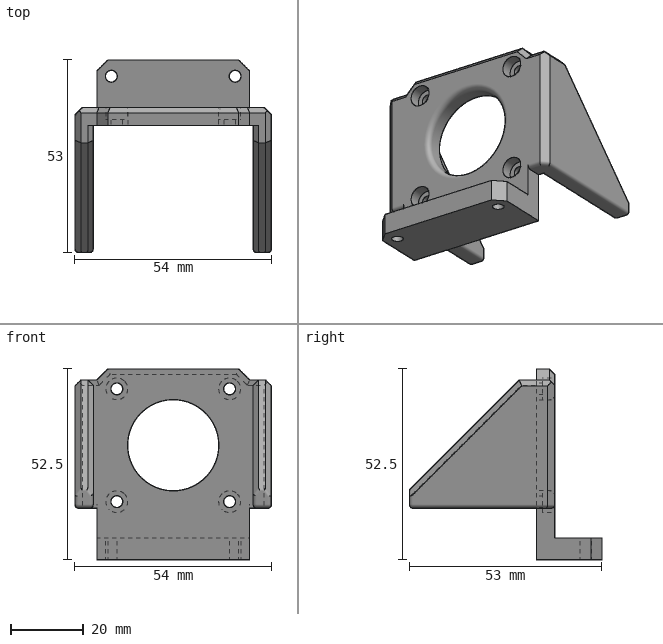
import cadquery as cq

total_width = 54.0
total_depth = 53.0
total_height = 52.5

plate_width = 42.0
plate_thickness = 5.0
foot_depth = 18.05
foot_height = 6.0
corner_chamfer = 3.0
foot_overhang = foot_depth - plate_thickness

wing_thickness = 5.0
wing_bottom = 14.15
wing_tip_height = 5.15
wing_top = total_height - corner_chamfer
wing_depth = total_depth - foot_overhang
wing_slope_base = wing_bottom + wing_tip_height
wing_outer_face = total_width / 2
wing_inner_face = wing_outer_face - wing_thickness

outer_chamfer = 1.7
inner_chamfer = 1.5
rear_corner_chamfer = 2.0
rear_top_chamfer = 1.5
wing_fillet = 1.0
bore_rear_fillet = 1.5

screw_diameter = 3.2
motor_bore_diameter = 25.0
motor_hole_spacing = 31.0
motor_center_height = total_height - plate_width / 2
counterbore_diameter = 6.0
counterbore_floor = 1.6
foot_hole_spacing = 34.0
foot_hole_inset = 4.5

pick_margin = 0.05


def edges_between(low_corner, high_corner):
    """Selector for edges centred in a box, widened by the picking margin."""
    low = tuple(value - pick_margin for value in low_corner)
    high = tuple(value + pick_margin for value in high_corner)
    return cq.selectors.BoxSelector(low, high)


def chamfer_wing_top(frame, face_x, size):
    """Chamfer the level and 45-degree top edges of the wing on the face at face_x."""
    along_face = edges_between((face_x, -wing_depth, wing_slope_base), (face_x, 0, wing_top))
    return frame.edges(along_face).edges("not |Z").edges("not |X").chamfer(size)


def is_panel_front_edge(edge):
    """True for the lower front edge of the panel, which stays sharp."""
    center = edge.Center()
    on_plate_front = abs(center.y + plate_thickness) < pick_margin
    return on_plate_front and center.x < wing_inner_face - pick_margin


def make_half_frame():
    """Wing on the +X side with its half of the joining panel."""
    slope_run = wing_top - wing_slope_base
    wing_profile = [
        (0, wing_bottom),
        (-wing_depth, wing_bottom),
        (-wing_depth, wing_slope_base),
        (-wing_depth + slope_run, wing_top),
        (0, wing_top),
    ]
    wing = cq.Workplane("YZ", origin=(wing_inner_face, 0, 0)).polyline(wing_profile).close()
    panel = cq.Workplane("XY", origin=(0, -plate_thickness, wing_bottom)).box(
        wing_inner_face, plate_thickness, wing_top - wing_bottom, centered=False
    )
    frame = wing.extrude(wing_thickness).union(panel)

    frame = frame.edges(">X and |Z and >Y").chamfer(rear_corner_chamfer)
    frame = chamfer_wing_top(frame, wing_outer_face, outer_chamfer)
    frame = chamfer_wing_top(frame, wing_inner_face, inner_chamfer)

    tip_edges = frame.faces("<Y").edges()
    bottom_edges = frame.faces("<Z").edges("not <X").filter(lambda edge: not is_panel_front_edge(edge))
    return tip_edges.add(bottom_edges).fillet(wing_fillet)


def make_plate():
    """Upright plate with clipped top corners."""
    plate = cq.Workplane("XY", origin=(0, -plate_thickness, 0)).box(
        plate_width, plate_thickness, total_height, centered=(True, False, False)
    )
    return plate.edges("|Y and >Z").chamfer(corner_chamfer)


def make_foot():
    """Rearward foot with clipped rear corners."""
    foot = cq.Workplane("XY", origin=(0, -plate_thickness, 0)).box(
        plate_width, foot_depth, foot_height, centered=(True, False, False)
    )
    return foot.edges("|Z and >Y").chamfer(corner_chamfer)


def bevel_rear_top(body):
    """Bevel the rear top outline that runs over the plate and both wings."""
    rear_outline = edges_between((-wing_outer_face, 0, wing_top), (wing_outer_face, 0, total_height))
    return body.edges(rear_outline).chamfer(rear_top_chamfer)


def cut_motor_bore(body):
    """Through bore for the motor boss, rounded where it leaves the rear face."""
    bore_radius = motor_bore_diameter / 2
    bore = cq.Workplane("XZ", origin=(0, 0, motor_center_height)).circle(bore_radius)
    rear_rim = edges_between(
        (-bore_radius, 0, motor_center_height - bore_radius),
        (bore_radius, 0, motor_center_height + bore_radius),
    )
    body = body.cut(bore.extrude(plate_thickness))
    return body.edges(rear_rim).edges("%CIRCLE").fillet(bore_rear_fillet)


def cut_motor_screw_holes(body):
    """Four screw holes around the bore, counterbored from the rear face."""
    centers = (
        cq.Workplane("XZ", origin=(0, 0, motor_center_height))
        .rect(motor_hole_spacing, motor_hole_spacing, forConstruction=True)
        .vertices()
    )
    holes = centers.circle(screw_diameter / 2).extrude(plate_thickness)
    counterbores = centers.circle(counterbore_diameter / 2).extrude(plate_thickness - counterbore_floor)
    return body.cut(holes).cut(counterbores)


def cut_foot_holes(body):
    """Two mounting holes down through the foot."""
    holes = (
        cq.Workplane("XY", origin=(0, foot_overhang - foot_hole_inset, 0))
        .pushPoints([(side * foot_hole_spacing / 2, 0) for side in (-1, 1)])
        .circle(screw_diameter / 2)
        .extrude(foot_height)
    )
    return body.cut(holes)


half_frame = make_half_frame()
bracket = half_frame.union(half_frame.mirror("YZ")).union(make_plate())
bracket = bevel_rear_top(bracket)
bracket = cut_motor_bore(bracket)
bracket = cut_motor_screw_holes(bracket)
bracket = bracket.union(make_foot())
result = cut_foot_holes(bracket)